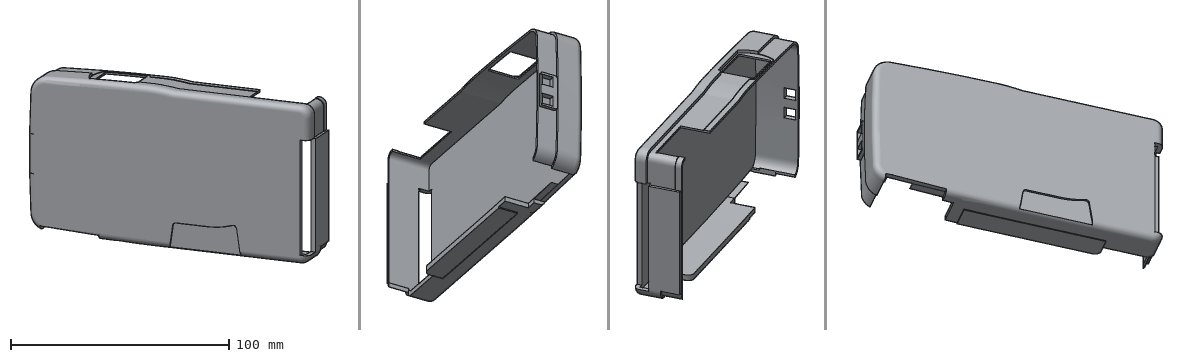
import cadquery as cq


length = 140.7
depth = 23.5
height = 76.5

left_mid_x = 0.4
left_end_x = 1.1
left_radius = 8.3
crown_x = 61.0
crown_end_x = 72.8
top_left_z = 75.0
top_right_z = 75.5
bottom_left_z = 1.5
bottom_right_z = 0.45
top_arc_mid_z = 76.1
crown_arc_mid_z = 76.2
bottom_arc_mid_z = 0.85
right_radius = 5.0

wall = 2.4
front_fillet = 3.0
rear_start_y = 13.6
rear_inset = 1.25
overlap = 1.0

band_depth = 1.5
band_end_z = 58.9
band_y = (6.4, 20.4)
band_wide_y = (4.7, 22.6)
band_arc_x = 26.7
band_arc_end_x = 29.5
band_wide_end_x = 51.8
band_narrow_x = 52.9

window_x = (30.2, 50.9)
window_y = (5.6, 21.7)
window_radius = 0.8
top_gap_x = (106.3, 135.1)
top_gap_y = 9.0

bottom_gap_x = (6.5, 35.8)
bottom_gap_left_z = 4.2
bottom_gap_right_z = 2.9
bottom_lip_y = 6.0
bottom_wall_start_x = 41.0
bottom_wall_y = 18.3
bottom_step_x = 115.4
bottom_step_y = 13.2
bottom_step_radius = 3.0

pad_start_x = 46.8
pad_start_y = 8.3

slot_x = 136.2
slot_z = (4.8, 59.7)
panel_z = (6.0, band_end_z)
panel_y = (7.7, 23.2)

thumb_depth = 0.9
thumb_base_x = (71.2, 106.4)
thumb_shoulder_x = (72.9, 104.3)
thumb_low_z = 13.2
thumb_high_z = 15.8
thumb_curve_x = 91.0
thumb_curve_mid_z = 13.9
thumb_base_z = 1.5
thumb_radius = 1.6

tab_y = (14.3, 22.8)
tab_z = (29.9, 47.4)
tab_radius = 0.8
tab_hole_y = (16.5, 22.1)
tab_hole_height = 5.3
tab_hole_bottoms = (30.9, 41.0)


def box(x, y, z):
    """Axis-aligned box from (low, high) pairs."""
    size = (x[1] - x[0], y[1] - y[0], z[1] - z[0])
    return cq.Workplane("XY").box(*size, centered=False).translate((x[0], y[0], z[0]))


def xz_plane(y):
    """Sketch plane at depth y whose extrusions run towards -Y."""
    return cq.Workplane("XZ", origin=(0, y, 0))


def outline_prism(inset, y_start, y_end):
    """Prism of the case outline, moved inwards by inset, from y_start to y_end."""
    left_x = left_end_x
    mid_z = height / 2
    arc_start_x = left_x + left_radius
    arc_mid_x = (arc_start_x + crown_x) / 2
    crown_mid_x = (crown_x + crown_end_x) / 2
    right_corner_x = length - right_radius
    outline = (
        xz_plane(y_end)
        .moveTo(left_x, bottom_left_z + left_radius)
        .threePointArc((left_mid_x, mid_z), (left_x, top_left_z - left_radius))
        .radiusArc((arc_start_x, top_left_z), left_radius)
        .threePointArc((arc_mid_x, top_arc_mid_z), (crown_x, height))
        .threePointArc((crown_mid_x, crown_arc_mid_z), (crown_end_x, top_right_z))
        .lineTo(right_corner_x, top_right_z)
        .radiusArc((length, top_right_z - right_radius), right_radius)
        .lineTo(length, bottom_right_z + right_radius)
        .radiusArc((right_corner_x, bottom_right_z), right_radius)
        .lineTo(crown_x, bottom_right_z)
        .threePointArc((arc_mid_x, bottom_arc_mid_z), (arc_start_x, bottom_left_z))
        .radiusArc((left_x, bottom_left_z + left_radius), left_radius)
        .close()
    )
    if inset:
        outline = outline.offset2D(-inset)
    return outline.extrude(y_end - y_start)


def outer_body():
    front = outline_prism(0, 0, depth).faces("<Y").edges().fillet(front_fillet)
    rim = outline_prism(0, rear_start_y, depth + overlap)
    rim = rim.cut(outline_prism(rear_inset, rear_start_y, depth + overlap))
    bottom_strip = box((bottom_wall_start_x, bottom_step_x), (0, bottom_wall_y), (0, wall))
    return front.cut(rim.cut(bottom_strip))


def band_cutter():
    mid_y = (band_wide_y[0] + band_wide_y[1]) / 2
    footprint = (
        cq.Workplane("XY", origin=(0, 0, band_end_z))
        .moveTo(band_arc_end_x, band_wide_y[0])
        .threePointArc((band_arc_x, mid_y), (band_arc_end_x, band_wide_y[1]))
        .lineTo(band_wide_end_x, band_wide_y[1])
        .lineTo(band_narrow_x, band_y[1])
        .lineTo(length + overlap, band_y[1])
        .lineTo(length + overlap, band_y[0])
        .lineTo(band_narrow_x, band_y[0])
        .lineTo(band_wide_end_x, band_wide_y[0])
        .close()
        .extrude(height)
    )
    return footprint.cut(outline_prism(band_depth, 0, depth))


def window_cutter():
    window = box(window_x, window_y, (height / 2, height + overlap))
    return window.edges("|Z").fillet(window_radius)


def top_gap_cutter():
    return box(top_gap_x, (top_gap_y, depth + overlap), (height / 2, height + overlap))


def bottom_gap_cutter():
    return (
        xz_plane(depth + overlap)
        .moveTo(bottom_gap_x[0], -overlap)
        .lineTo(bottom_gap_x[0], bottom_gap_left_z)
        .lineTo(bottom_gap_x[1], bottom_gap_right_z)
        .lineTo(bottom_gap_x[1], -overlap)
        .close()
        .extrude(depth + 2 * overlap)
    )


def bottom_edge_cutter():
    """Lowers the rear edge of the bottom wall, with a rounded step near the right end."""
    rear_y = depth + overlap
    inner_x = length - wall
    return (
        cq.Workplane("XY", origin=(0, 0, -overlap))
        .moveTo(bottom_gap_x[0], rear_y)
        .lineTo(bottom_gap_x[0], bottom_lip_y)
        .lineTo(bottom_wall_start_x, bottom_lip_y)
        .lineTo(bottom_wall_start_x, bottom_wall_y)
        .lineTo(bottom_step_x - bottom_step_radius, bottom_wall_y)
        .radiusArc((bottom_step_x, bottom_wall_y - bottom_step_radius), bottom_step_radius)
        .lineTo(bottom_step_x, bottom_step_y)
        .lineTo(inner_x, bottom_step_y)
        .lineTo(inner_x, rear_y)
        .close()
        .extrude(right_radius + overlap)
    )


def bottom_pad():
    return box((pad_start_x, bottom_step_x), (pad_start_y, bottom_wall_y), (0, wall))


def slot_cutter():
    return box((slot_x, length + overlap), (-overlap, panel_y[0]), slot_z)


def end_panel():
    return box((length - wall, length), panel_y, panel_z)


def thumb_cutter():
    shoulder_left, shoulder_right = thumb_shoulder_x
    curve_mid = ((thumb_curve_x + shoulder_right) / 2, thumb_curve_mid_z)
    profile = (
        xz_plane(thumb_depth)
        .moveTo(thumb_base_x[0], -overlap)
        .lineTo(thumb_base_x[0], thumb_base_z)
        .lineTo(shoulder_left, thumb_low_z)
        .lineTo(thumb_curve_x, thumb_low_z)
        .threePointArc(curve_mid, (shoulder_right, thumb_high_z))
        .lineTo(thumb_base_x[1], thumb_base_z)
        .lineTo(thumb_base_x[1], -overlap)
        .close()
        .extrude(thumb_depth + overlap)
    )
    for corner_x, corner_z in ((shoulder_left, thumb_low_z), (shoulder_right, thumb_high_z)):
        corner = (corner_x, (thumb_depth - overlap) / 2, corner_z)
        profile = profile.edges(cq.selectors.NearestToPointSelector(corner)).fillet(thumb_radius)
    return profile


def left_tab():
    tab = box((0, left_mid_x + wall), tab_y, tab_z)
    return tab.edges("|X").fillet(tab_radius)


def tab_holes():
    holes = cq.Workplane("XY")
    for bottom in tab_hole_bottoms:
        hole = box((-overlap, 2 * wall), tab_hole_y, (bottom, bottom + tab_hole_height))
        holes = holes.add(hole)
    return holes.combine()


shell = outer_body().union(bottom_pad()).cut(outline_prism(wall, wall, depth + overlap))
for cutter in (
    band_cutter(),
    window_cutter(),
    top_gap_cutter(),
    bottom_gap_cutter(),
    bottom_edge_cutter(),
    slot_cutter(),
    thumb_cutter(),
):
    shell = shell.cut(cutter)

result = shell.union(end_panel()).union(left_tab()).cut(tab_holes())